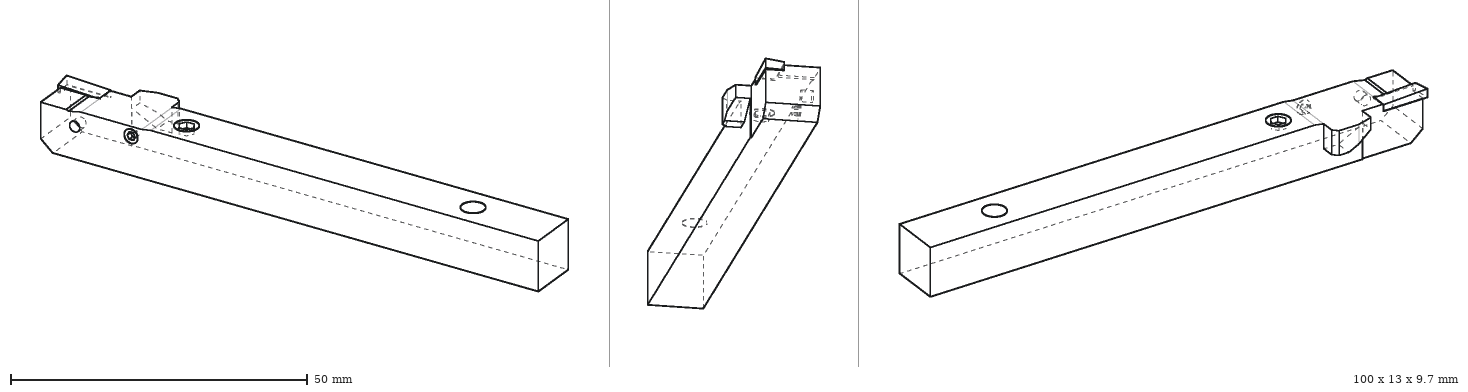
import cadquery as cq

length = 100.0
shank_size = 9.6
head_start = 0.8
nose_chamfer_x = 2.4
nose_chamfer_z = 2.1

deck_z = 9.3
ledge_z = 9.0
groove_z = 8.8
ledge_end = 5.9
groove_end = 6.4
deck_start = 8.8
deck_end = 20.9
ramp_end = 22.7
lug_start = 13.0
side_relief = 0.2

insert_width = 3.3
insert_top = 9.7
insert_tip_bottom = 8.0
insert_rear_top = 9.3
insert_side_fall = 0.3
insert_skew = 0.3

lug_outer_y = 13.0
lug_bevel_y = 0.9
lug_front_bevel_x = 3.0
lug_rear_bevel_x = 0.9
lug_bottom = 4.5
lug_front_bottom = 7.0
lug_slope_length = 5.0

top_screw_x = 26.9
rear_seat_x = 84.0
top_screw_diameter = 4.3
top_socket_corners = 2.9
side_screw_x = 18.8
side_screw_z = 7.4
side_screw_diameter = 2.7
side_socket_corners = 1.6
side_hole_x = 7.6
side_hole_z = 6.2
side_hole_diameter = 2.0
side_hole_depth = 2.0
screw_recess = 0.1
socket_depth = 1.2


def make_holder():
    """Square bar with a stepped head and a chamfered nose."""
    body = (
        cq.Workplane("XZ")
        .moveTo(head_start, nose_chamfer_z)
        .lineTo(head_start, ledge_z)
        .lineTo(ledge_end, ledge_z)
        .lineTo(groove_end, groove_z)
        .lineTo(deck_start, deck_z)
        .lineTo(deck_end, deck_z)
        .lineTo(ramp_end, shank_size)
        .lineTo(length, shank_size)
        .lineTo(length, 0)
        .lineTo(head_start + nose_chamfer_x, 0)
        .close()
        .extrude(-shank_size)
    )
    relief = cq.Workplane("XY").box(lug_start, side_relief, shank_size, centered=False)
    return body.cut(relief.translate((0, shank_size - side_relief, 0)))


def make_insert_space():
    """Plan outline of the insert, its cutting edge skewed, as a tall prism."""
    inner_y = shank_size - insert_width
    return (
        cq.Workplane("XY", origin=(0, 0, insert_tip_bottom))
        .polyline([
            (insert_skew, inner_y),
            (0, shank_size),
            (deck_start, shank_size),
            (deck_start, inner_y),
        ])
        .close()
        .extrude(insert_top - insert_tip_bottom)
    )


def insert_section(top_z):
    """Cross-section of the insert, its top falling towards -Y."""
    inner_y = shank_size - insert_width
    return [
        (inner_y, insert_tip_bottom),
        (shank_size, insert_tip_bottom),
        (shank_size, top_z),
        (inner_y, top_z - insert_side_fall),
    ]


def make_insert():
    """Insert whose flat top falls both backwards and towards -Y."""
    wedge = (
        cq.Workplane("YZ")
        .polyline(insert_section(insert_top))
        .close()
        .workplane(offset=deck_start)
        .polyline(insert_section(insert_rear_top))
        .close()
        .loft(ruled=True)
    )
    return wedge.intersect(make_insert_space())


def make_lug():
    """Bevelled lug on the +Y side, its underside sloping up to the front."""
    root_y = shank_size / 2
    bevel_y = lug_outer_y - lug_bevel_y
    plan = (
        cq.Workplane("XY")
        .polyline([
            (lug_start, root_y),
            (lug_start, bevel_y),
            (lug_start + lug_front_bevel_x, lug_outer_y),
            (deck_end - lug_rear_bevel_x, lug_outer_y),
            (deck_end, bevel_y),
            (deck_end, root_y),
        ])
        .close()
        .extrude(deck_z)
    )
    side = (
        cq.Workplane("XZ")
        .polyline([
            (lug_start, deck_z),
            (lug_start, lug_front_bottom),
            (lug_start + lug_slope_length, lug_bottom),
            (deck_end, lug_bottom),
            (deck_end, deck_z),
        ])
        .close()
        .extrude(-lug_outer_y)
    )
    return plan.intersect(side)


def cut_screw(body, face, diameter, socket_corners):
    """Recess a screw head slightly and cut its hexagon socket."""
    head = face.circle(diameter / 2).extrude(-screw_recess)
    socket = face.polygon(6, socket_corners).extrude(-socket_depth)
    return body.cut(head).cut(socket)


def top_face(x):
    return cq.Workplane("XY", origin=(x, shank_size / 2, shank_size))


def side_face(x, z):
    return cq.Workplane("XZ", origin=(x, 0, z))


result = make_holder().cut(make_insert_space()).union(make_insert()).union(make_lug())
result = cut_screw(result, top_face(top_screw_x), top_screw_diameter, top_socket_corners)
result = cut_screw(
    result, side_face(side_screw_x, side_screw_z), side_screw_diameter, side_socket_corners
)
rear_seat = top_face(rear_seat_x).circle(top_screw_diameter / 2).extrude(-screw_recess)
side_hole = (
    side_face(side_hole_x, side_hole_z).circle(side_hole_diameter / 2).extrude(-side_hole_depth)
)
result = result.cut(rear_seat).cut(side_hole)